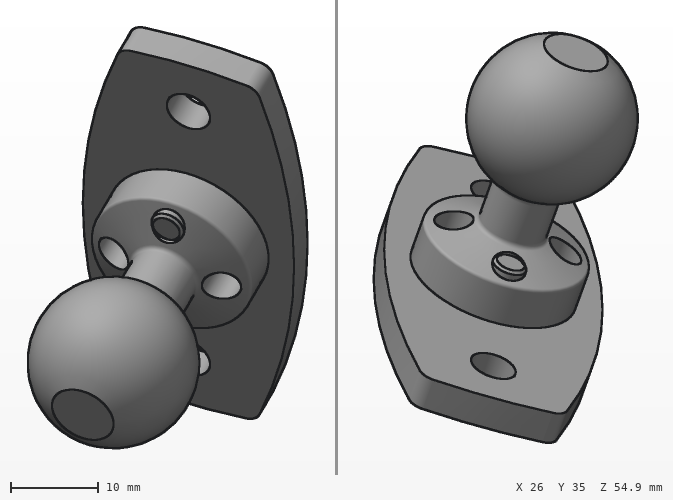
import cadquery as cq
import math


plate_length = 54.9
plate_width = 26.0
plate_thickness = 4.0
side_bow_radius = 80.0
end_bow_radius = 60.35
corner_radius = 2.0
screw_hole_diameter = 5.3
screw_hole_offset = 20.0

base_diameter = 19.75
rim_height = 9.0
rim_round = 0.45
cone_end_height = 11.05
neck_diameter = 8.0
neck_foot_setback = 0.45
neck_end_height = 16.6
ball_diameter = 19.55
overall_height = 35.0
ball_center_height = 26.0
ball_neck_flare = 0.15

pin_diameter = 4.0
pin_top_diameter = 3.3
pin_top_height = 10.5
base_hole_diameter = 4.2
pin_offset = 7.0
base_hole_offset = 6.65


def cylinder_along_y(diameter, x, z, start_height, end_height):
    """Cylinder between two heights above the back of the plate."""
    return cq.Workplane(
        cq.Solid.makeCylinder(
            diameter / 2,
            end_height - start_height,
            cq.Vector(x, -start_height, z),
            cq.Vector(0, -1, 0),
        )
    )


def make_plate():
    half_width = plate_width / 2
    half_length = plate_length / 2

    side_center_x = half_width - side_bow_radius
    end_center_z = half_length - end_bow_radius
    center_distance = math.hypot(side_center_x, end_center_z)
    chord_distance = (center_distance**2 + side_bow_radius**2 - end_bow_radius**2) / (2 * center_distance)
    half_chord = math.sqrt(side_bow_radius**2 - chord_distance**2)
    direction_x = -side_center_x / center_distance
    direction_z = end_center_z / center_distance
    corner_x = side_center_x + chord_distance * direction_x - half_chord * direction_z
    corner_z = chord_distance * direction_z + half_chord * direction_x

    plate = (
        cq.Workplane("XZ")
        .moveTo(corner_x, -corner_z)
        .threePointArc((half_width, 0), (corner_x, corner_z))
        .threePointArc((0, half_length), (-corner_x, corner_z))
        .threePointArc((-half_width, 0), (-corner_x, -corner_z))
        .threePointArc((0, -half_length), (corner_x, -corner_z))
        .close()
        .extrude(plate_thickness)
        .edges("|Y")
        .fillet(corner_radius)
    )
    for z in (-screw_hole_offset, screw_hole_offset):
        plate = plate.cut(cylinder_along_y(screw_hole_diameter, 0, z, 0, plate_thickness))
    return plate


def make_stud_body():
    """Base, neck and ball, revolved about the Y axis."""
    base_radius = base_diameter / 2
    neck_radius = neck_diameter / 2
    ball_radius = ball_diameter / 2
    flare_radius = neck_radius + ball_neck_flare
    flare_height = ball_center_height - math.sqrt(ball_radius**2 - flare_radius**2)
    flat_radius = math.sqrt(ball_radius**2 - (overall_height - ball_center_height) ** 2)

    slope = math.atan2(cone_end_height - rim_height, base_radius - neck_radius)
    rim_mid_angle = (math.pi / 2 - slope) / 2
    rim_setback = rim_round * math.tan(rim_mid_angle)
    rim_round_x = base_radius - rim_round
    rim_round_height = rim_height - rim_setback
    rim_end_x = rim_round_x + rim_round * math.sin(slope)
    rim_end_height = rim_round_height + rim_round * math.cos(slope)
    rim_mid_x = rim_round_x + rim_round * math.cos(rim_mid_angle)
    rim_mid_height = rim_round_height + rim_round * math.sin(rim_mid_angle)

    foot_start_x = neck_radius + neck_foot_setback * math.cos(slope)
    foot_start_height = cone_end_height - neck_foot_setback * math.sin(slope)
    foot_end_height = cone_end_height + neck_foot_setback

    profile = (
        cq.Workplane("XY")
        .moveTo(0, -plate_thickness)
        .lineTo(base_radius, -plate_thickness)
        .lineTo(base_radius, -rim_round_height)
        .threePointArc((rim_mid_x, -rim_mid_height), (rim_end_x, -rim_end_height))
        .lineTo(foot_start_x, -foot_start_height)
        .tangentArcPoint((neck_radius, -foot_end_height), relative=False)
        .lineTo(neck_radius, -neck_end_height)
        .tangentArcPoint((flare_radius, -flare_height), relative=False)
        .threePointArc((ball_radius, -ball_center_height), (flat_radius, -overall_height))
        .lineTo(0, -overall_height)
        .close()
    )
    return profile.revolve(360, (0, 0, 0), (0, 1, 0))


def make_ball_stud():
    stud = make_stud_body()
    for side in (-1, 1):
        open_hole = cylinder_along_y(
            base_hole_diameter, side * base_hole_offset, 0, plate_thickness, cone_end_height
        )
        pin_hole = cylinder_along_y(
            pin_diameter, 0, side * pin_offset, plate_thickness, cone_end_height
        )
        stud = stud.cut(open_hole).cut(pin_hole)
    return stud


def make_pin(z):
    top_chamfer = (pin_diameter - pin_top_diameter) / 2
    pin = cylinder_along_y(pin_diameter, 0, z, plate_thickness, pin_top_height)
    return pin.faces("<Y").edges().chamfer(top_chamfer)


plate = make_plate()
ball_stud = make_ball_stud()
pins = [make_pin(side * pin_offset) for side in (-1, 1)]

result = cq.Compound.makeCompound([plate.val(), ball_stud.val(), *[pin.val() for pin in pins]])